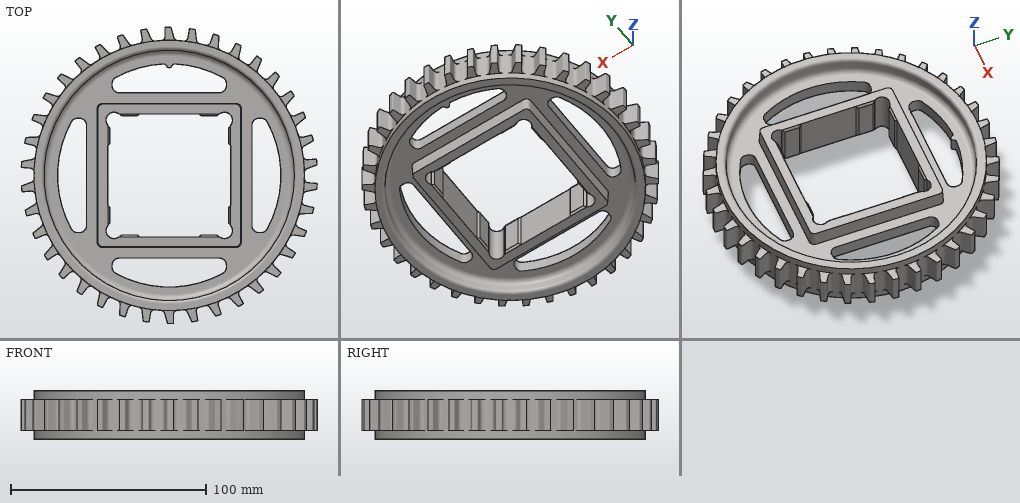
import cadquery as cq
import math

TOTAL_HEIGHT = 25.0
RIM_TOP = TOTAL_HEIGHT / 2

TOOTH_COUNT = 38
TOOTH_PITCH_ANGLE = 360.0 / TOOTH_COUNT
FIRST_TOOTH_ANGLE = 90.0
TOOTH_WIDTH = 16.0
TOOTH_TIP_RADIUS = 75.91
STRAIGHT_FLANK_OFFSET = 2.22
SLOPED_FLANK_TIP_OFFSET = 0.9
SLOPED_FLANK_ANGLE = 15.8
TOOTH_TIP_ROUND = 0.5
TOOTH_ROOT_FILLET = 2.0

RIM_OUTER_RADIUS = 69.25
RIM_INNER_RADIUS = 64.1
RIM_EDGE_ROUND = 1.8
RIM_FLOOR_FILLET = 3.0

WEB_TOP = 4.0

HUB_TOP_WIDTH = 73.0
HUB_DRAFT_ANGLE = 3.0
HUB_CORNER_RADIUS = 2.5
BORE_WIDTH = 62.9
BORE_CORNER_RADIUS = 3.0
RELIEF_RADIUS = 4.0
RELIEF_CENTER = 28.3

PAD_HEIGHT = 1.0
PAD_INNER_END = 15.2
PAD_OUTER_END = 25.5
PAD_BEVEL = 1.2

SLOT_OUTER_RADIUS = 57.1
SLOT_INNER_OFFSET = 42.4
SLOT_HALF_LENGTH = 29.2
SLOT_CORNER_RADIUS = 3.5

BUMP_HEIGHT = 2.0
BUMP_RADIUS = 1.5
BUMP_BASE_FILLET = 1.5


def make_ring():
    """Web disc with a raised, rounded rim on both faces, before any cut-outs."""
    diagonal = math.sqrt(0.5)
    round_center_r = RIM_INNER_RADIUS + RIM_EDGE_ROUND
    round_center_z = RIM_TOP - RIM_EDGE_ROUND
    fillet_center_r = RIM_INNER_RADIUS - RIM_FLOOR_FILLET
    fillet_center_z = WEB_TOP + RIM_FLOOR_FILLET
    round_mid = (
        round_center_r - RIM_EDGE_ROUND * diagonal,
        round_center_z + RIM_EDGE_ROUND * diagonal,
    )
    fillet_mid = (
        fillet_center_r + RIM_FLOOR_FILLET * diagonal,
        fillet_center_z - RIM_FLOOR_FILLET * diagonal,
    )
    upper_half = (
        cq.Workplane("XZ")
        .lineTo(RIM_OUTER_RADIUS, 0)
        .lineTo(RIM_OUTER_RADIUS, RIM_TOP)
        .lineTo(round_center_r, RIM_TOP)
        .threePointArc(round_mid, (RIM_INNER_RADIUS, round_center_z))
        .lineTo(RIM_INNER_RADIUS, fillet_center_z)
        .threePointArc(fillet_mid, (fillet_center_r, WEB_TOP))
        .lineTo(0, WEB_TOP)
        .close()
        .revolve(360, (0, 0, 0), (0, 1, 0))
    )
    return upper_half.union(upper_half.mirror("XY"))


def make_hub():
    """Square hub, drafted so that it widens from each end face towards the web."""
    upper_half = (
        cq.Workplane("XY")
        .workplane(offset=RIM_TOP)
        .sketch()
        .rect(HUB_TOP_WIDTH, HUB_TOP_WIDTH)
        .vertices()
        .fillet(HUB_CORNER_RADIUS)
        .finalize()
        .extrude(-RIM_TOP, taper=-HUB_DRAFT_ANGLE)
    )
    return upper_half.union(upper_half.mirror("XY"))


def radius_of(edge):
    """Distance of an edge's middle from the part axis."""
    return math.hypot(edge.Center().x, edge.Center().y)


def make_tooth():
    """Tooth on the +X axis: one radial flank on its +Y side, one sloped flank on its -Y side."""
    foot_radius = RIM_INNER_RADIUS + RIM_EDGE_ROUND
    flank_length = TOOTH_TIP_RADIUS - foot_radius
    sloped_foot = SLOPED_FLANK_TIP_OFFSET + flank_length * math.tan(math.radians(SLOPED_FLANK_ANGLE))
    straight_tip_x = math.sqrt(TOOTH_TIP_RADIUS ** 2 - STRAIGHT_FLANK_OFFSET ** 2)
    sloped_tip_x = math.sqrt(TOOTH_TIP_RADIUS ** 2 - SLOPED_FLANK_TIP_OFFSET ** 2)
    return (
        cq.Workplane("XY")
        .workplane(offset=-TOOTH_WIDTH / 2)
        .moveTo(foot_radius, -sloped_foot)
        .lineTo(sloped_tip_x, -SLOPED_FLANK_TIP_OFFSET)
        .threePointArc((TOOTH_TIP_RADIUS, 0), (straight_tip_x, STRAIGHT_FLANK_OFFSET))
        .lineTo(foot_radius, STRAIGHT_FLANK_OFFSET)
        .close()
        .extrude(TOOTH_WIDTH)
        .edges("|Z")
        .filter(lambda edge: radius_of(edge) > RIM_OUTER_RADIUS)
        .fillet(TOOTH_TIP_ROUND)
    )


def make_toothed_band():
    """Ring of teeth around the rim, with filleted tooth roots."""
    tooth = make_tooth()
    band = (
        cq.Workplane("XY")
        .workplane(offset=-TOOTH_WIDTH / 2)
        .circle(RIM_OUTER_RADIUS)
        .circle(RIM_INNER_RADIUS + RIM_EDGE_ROUND)
        .extrude(TOOTH_WIDTH)
    )
    for index in range(TOOTH_COUNT):
        turn = FIRST_TOOTH_ANGLE + index * TOOTH_PITCH_ANGLE
        band = band.union(tooth.rotate((0, 0, 0), (0, 0, 1), turn))
    root_inside = RIM_OUTER_RADIUS - TOOTH_TIP_ROUND
    root_outside = RIM_OUTER_RADIUS + TOOTH_TIP_ROUND
    return (
        band.edges("|Z")
        .filter(lambda edge: root_inside < radius_of(edge) < root_outside)
        .fillet(TOOTH_ROOT_FILLET)
    )


def make_reliefs():
    """Round columns that relieve the four bore corners."""
    spacing = 2 * RELIEF_CENTER
    return (
        cq.Workplane("XY")
        .rect(spacing, spacing, forConstruction=True)
        .vertices()
        .circle(RELIEF_RADIUS)
        .extrude(RIM_TOP, both=True)
    )


def make_bore():
    """Square through bore, before the corner reliefs are cut."""
    return (
        cq.Workplane("XY")
        .rect(BORE_WIDTH, BORE_WIDTH)
        .extrude(RIM_TOP, both=True)
        .edges("|Z")
        .fillet(BORE_CORNER_RADIUS)
    )


def make_pad():
    """Bevelled pad on the +Y bore wall, on the +X side of its middle."""
    length = PAD_OUTER_END - PAD_INNER_END
    middle_x = (PAD_OUTER_END + PAD_INNER_END) / 2
    return (
        cq.Workplane("XZ", origin=(middle_x, BORE_WIDTH / 2, 0))
        .rect(length, TOTAL_HEIGHT)
        .workplane(offset=PAD_HEIGHT)
        .rect(length - 2 * PAD_BEVEL, TOTAL_HEIGHT - 2 * PAD_BEVEL)
        .loft(ruled=True)
    )


def make_pads():
    """Two pads on each of the four bore walls."""
    right_pad = make_pad()
    pair = right_pad.union(right_pad.mirror("YZ"))
    pads = pair
    for quarter in range(1, 4):
        pads = pads.union(pair.rotate((0, 0, 0), (0, 0, 1), 90 * quarter))
    return pads


def make_slot():
    """Through window on the +Y side, bounded by a straight side and an arc."""
    arc_end_y = math.sqrt(SLOT_OUTER_RADIUS ** 2 - SLOT_HALF_LENGTH ** 2)
    return (
        cq.Workplane("XY")
        .workplane(offset=-RIM_TOP)
        .moveTo(-SLOT_HALF_LENGTH, SLOT_INNER_OFFSET)
        .lineTo(SLOT_HALF_LENGTH, SLOT_INNER_OFFSET)
        .lineTo(SLOT_HALF_LENGTH, arc_end_y)
        .threePointArc((0, SLOT_OUTER_RADIUS), (-SLOT_HALF_LENGTH, arc_end_y))
        .close()
        .extrude(TOTAL_HEIGHT)
        .edges("|Z")
        .fillet(SLOT_CORNER_RADIUS)
    )


def make_bumped_slot():
    """Slot on the +Y side with a small round bump standing inward from its outer side."""
    bump_y = SLOT_OUTER_RADIUS - BUMP_HEIGHT + BUMP_RADIUS
    bump_reach = BUMP_RADIUS + BUMP_BASE_FILLET
    bump = cq.Workplane("XY").center(0, bump_y).circle(BUMP_RADIUS).extrude(RIM_TOP, both=True)
    return (
        make_slot()
        .cut(bump)
        .edges("|Z")
        .filter(lambda edge: abs(edge.Center().x) < bump_reach)
        .filter(lambda edge: edge.Center().y > bump_y)
        .fillet(BUMP_BASE_FILLET)
    )


result = make_ring().union(make_hub()).union(make_toothed_band())
result = result.cut(make_bore()).union(make_pads()).cut(make_reliefs())
result = result.cut(make_bumped_slot())
for quarter in range(1, 4):
    result = result.cut(make_slot().rotate((0, 0, 0), (0, 0, 1), 90 * quarter))